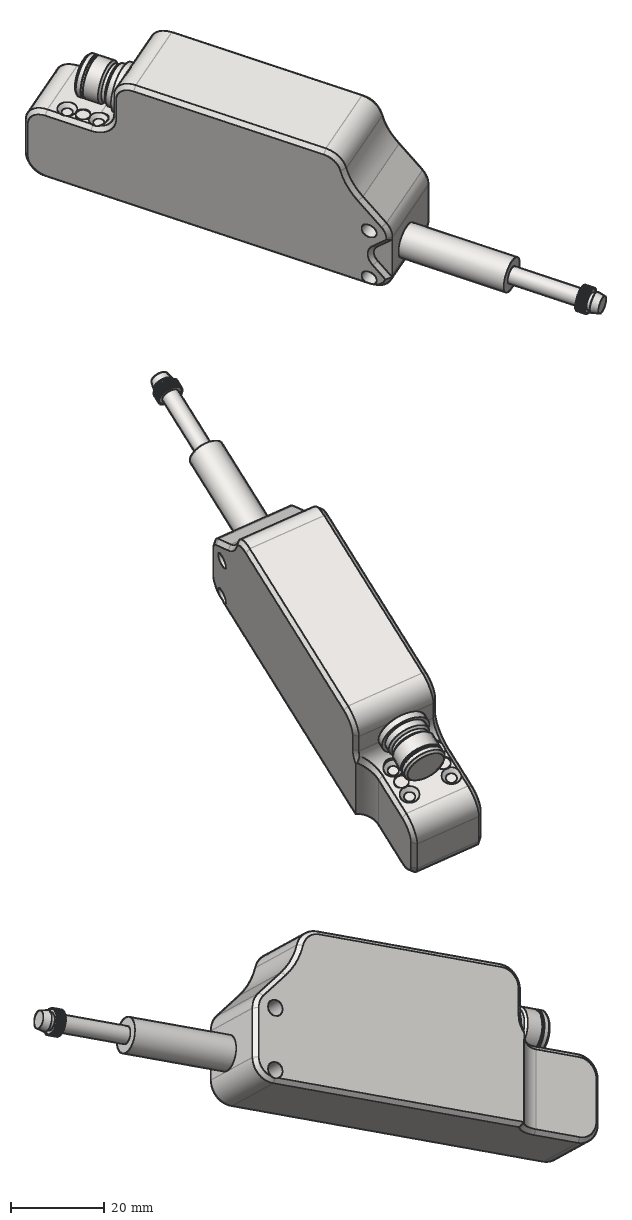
import cadquery as cq
import math


HOUSING_LENGTH = 87.0
HOUSING_WIDTH = 20.0
HOUSING_HEIGHT = 36.0
LEDGE_HEIGHT = 20.0
LEDGE_WIDTH = 17.0
WALL_X = 21.0
CORNER_RADIUS = 5.1
EDGE_CHAMFER = 1.0

SHOULDER_ARC_X = 71.1
HOLLOW_RADIUS = 15.0
SLOPE_FOOT_Z = 18.3

HOLE_DIAMETER = 3.6
HOLE_X = 81.9
LOWER_HOLE_Z = 2.7
UPPER_HOLE_Z = 16.7
RECESS_APEX_X = 79.9
RECESS_ROUND = 4.0
RECESS_DEPTH = EDGE_CHAMFER
RECESS_OVERRUN = 2.7

SINK_X = 9.0
SINK_PITCH = 3.7
SINK_ROW_OFFSET = 5.1
SINK_RADIUS = 2.1
SINK_DEPTH = 1.0
DIMPLE_RADIUS = 1.6
DIMPLE_DEPTH = 0.3

PLUNGER_Y = 8.0
PLUNGER_Z = 9.1
SLEEVE_DIAMETER = 8.0
SLEEVE_LENGTH = 25.0

TOTAL_LENGTH = 133.4
ROD_DIAMETER = 4.0
KNURL_DIAMETER = 6.0
KNURL_START_X = 128.3
KNURL_LENGTH = 2.3
KNURL_TEETH = 40
KNURL_TOOTH_DEPTH = 0.3
TIP_HEAD_RADIUS = 2.4
TIP_HEAD_X = 131.5

CONNECTOR_Y = 8.5
CONNECTOR_Z = 26.0
CONNECTOR_START_X = 10.1
CONNECTOR_RADIUS = 5.0
GRIP_BEVEL = 0.5
RING_GROOVE_X = 11.7
RING_GROOVE_WIDTH = 0.5
RING_GROOVE_DEPTH = 0.3
NECK_RADIUS = 4.4
NECK_START_X = 16.4
NECK_END_X = 17.2
FLANGE_X = 19.3
FLANGE_RADIUS = 5.7

DIAGONAL = math.sqrt(0.5)


def point_on(center, radius, degrees):
    angle = math.radians(degrees)
    return (center[0] + radius * math.cos(angle), center[1] + radius * math.sin(angle))


def housing_outline():
    """Side outline in X and Z, extruded over the full width."""
    r = CORNER_RADIUS
    low_left = (r, r)
    ledge_left = (r, LEDGE_HEIGHT - r)
    wall_foot = (WALL_X - r, LEDGE_HEIGHT + r)
    wall_top = (WALL_X + r, HOUSING_HEIGHT - r)
    shoulder = (SHOULDER_ARC_X, HOUSING_HEIGHT - r)
    low_right = (HOUSING_LENGTH - r, r)
    slope_end = (HOUSING_LENGTH - r, SLOPE_FOOT_Z - r * math.tan(math.pi / 8))

    shoulder_depth = (HOUSING_LENGTH + SLOPE_FOOT_Z - sum(shoulder)) * DIAGONAL
    run = math.sqrt((HOLLOW_RADIUS + r) ** 2 - (HOLLOW_RADIUS + shoulder_depth) ** 2)
    out = shoulder_depth + HOLLOW_RADIUS
    hollow = (shoulder[0] + (out + run) * DIAGONAL, shoulder[1] + (out - run) * DIAGONAL)
    join_angle = math.degrees(math.atan2(hollow[1] - shoulder[1], hollow[0] - shoulder[0]))
    join_back = join_angle + 180
    slope_back = 225

    return (
        cq.Workplane("XZ")
        .moveTo(r, 0)
        .lineTo(low_right[0], 0)
        .threePointArc(point_on(low_right, r, -45), point_on(low_right, r, 0))
        .lineTo(*point_on(slope_end, r, 0))
        .threePointArc(point_on(slope_end, r, 22.5), point_on(slope_end, r, 45))
        .lineTo(*point_on(hollow, HOLLOW_RADIUS, slope_back))
        .threePointArc(
            point_on(hollow, HOLLOW_RADIUS, (slope_back + join_back) / 2),
            point_on(hollow, HOLLOW_RADIUS, join_back),
        )
        .threePointArc(point_on(shoulder, r, (join_angle + 90) / 2), point_on(shoulder, r, 90))
        .lineTo(*point_on(wall_top, r, 90))
        .threePointArc(point_on(wall_top, r, 135), point_on(wall_top, r, 180))
        .lineTo(*point_on(wall_foot, r, 0))
        .threePointArc(point_on(wall_foot, r, -45), point_on(wall_foot, r, -90))
        .lineTo(*point_on(ledge_left, r, 90))
        .threePointArc(point_on(ledge_left, r, 135), point_on(ledge_left, r, 180))
        .lineTo(*point_on(low_left, r, 180))
        .threePointArc(point_on(low_left, r, 225), point_on(low_left, r, 270))
        .close()
        .extrude(-HOUSING_WIDTH)
    )


def ledge_relief():
    """Space behind the narrow ledge, ended by an arc like the one at the wall's foot."""
    center = (WALL_X - CORNER_RADIUS, LEDGE_WIDTH + CORNER_RADIUS)
    end_angle = -math.degrees(math.asin((center[1] - HOUSING_WIDTH) / CORNER_RADIUS))
    return (
        cq.Workplane("XY")
        .moveTo(0, LEDGE_WIDTH)
        .lineTo(center[0], LEDGE_WIDTH)
        .threePointArc(
            point_on(center, CORNER_RADIUS, (end_angle - 90) / 2),
            point_on(center, CORNER_RADIUS, end_angle),
        )
        .lineTo(0, HOUSING_WIDTH)
        .close()
        .extrude(HOUSING_HEIGHT)
    )


def rear_edges():
    """Selector for the edges behind the ledge, without the upright lines at both ends of the arc."""
    margin = 0.1
    behind_ledge = cq.selectors.BoxSelector(
        (-margin, LEDGE_WIDTH - margin, -margin),
        (HOUSING_LENGTH + margin, HOUSING_WIDTH + margin, HOUSING_HEIGHT + margin),
        boundingbox=True,
    )
    arc_ends = cq.selectors.BoxSelector(
        (WALL_X - CORNER_RADIUS - margin, LEDGE_WIDTH - margin, margin),
        (WALL_X - margin, HOUSING_WIDTH + margin, LEDGE_HEIGHT - margin),
    )
    return behind_ledge - arc_ends


def mounting_holes():
    return (
        cq.Workplane("XZ")
        .pushPoints([(HOLE_X, LOWER_HOLE_Z), (HOLE_X, UPPER_HOLE_Z)])
        .circle(HOLE_DIAMETER / 2)
        .extrude(-HOUSING_WIDTH)
    )


def v_recess():
    """Shallow V with 45 degree walls, open at the right end."""
    middle_z = (LOWER_HOLE_Z + UPPER_HOLE_Z) / 2
    end_x = HOUSING_LENGTH + RECESS_OVERRUN
    half_height = end_x - RECESS_APEX_X
    return (
        cq.Workplane("XZ")
        .polyline([
            (RECESS_APEX_X, middle_z),
            (end_x, middle_z - half_height),
            (end_x, middle_z + half_height),
        ])
        .close()
        .extrude(-HOUSING_WIDTH)
        .edges("|Y and <X")
        .fillet(RECESS_ROUND)
        .faces("<Y")
        .wires()
        .toPending()
        .workplane(origin=(0, 0, 0))
        .extrude(-RECESS_DEPTH, combine=False, taper=45)
    )


def ledge_pockets():
    """Two rows, each a round dimple between two flat-bottomed conical sinks."""
    pockets = []
    for side in (-1, 1):
        row_y = PLUNGER_Y + side * SINK_ROW_OFFSET
        for sink_x in (SINK_X, SINK_X + 2 * SINK_PITCH):
            floor = cq.Vector(sink_x, row_y, LEDGE_HEIGHT - SINK_DEPTH)
            pockets.append(cq.Solid.makeCone(SINK_RADIUS - SINK_DEPTH, SINK_RADIUS, SINK_DEPTH, floor))
            rim = cq.Vector(sink_x, row_y, LEDGE_HEIGHT)
            pockets.append(cq.Solid.makeCylinder(SINK_RADIUS, SINK_DEPTH, rim))
        floor = cq.Vector(SINK_X + SINK_PITCH, row_y, LEDGE_HEIGHT - DIMPLE_DEPTH)
        pockets.append(cq.Solid.makeCylinder(DIMPLE_RADIUS, DIMPLE_DEPTH, floor))
    return pockets


def make_housing(connector):
    body = housing_outline().cut(ledge_relief())
    body = body.faces("<Y").chamfer(EDGE_CHAMFER)
    body = body.edges(rear_edges()).chamfer(EDGE_CHAMFER)
    body = body.cut(mounting_holes()).cut(v_recess())
    for pocket in ledge_pockets():
        body = body.cut(cq.Workplane(pocket))
    return body.cut(connector)


def turned(profile, y, z):
    """Revolve (x, radius) points about a line along X at the given Y and Z."""
    return (
        cq.Workplane("XY")
        .polyline(profile)
        .close()
        .revolve(360, (0, 0), (1, 0))
        .translate((0, y, z))
    )


def toothed_disc(start_x, length, radius, teeth, depth, y, z):
    """Disc along X whose rim is a ring of V-shaped teeth."""
    points = []
    for index in range(2 * teeth):
        tooth_radius = radius - depth * (index % 2)
        points.append(point_on((0, 0), tooth_radius, index * 180 / teeth))
    return cq.Workplane("YZ").polyline(points).close().extrude(length).translate((start_x, y, z))


def make_connector():
    ring_groove_end_x = RING_GROOVE_X + RING_GROOVE_WIDTH
    ring_groove_radius = CONNECTOR_RADIUS - RING_GROOVE_DEPTH
    neck_depth = CONNECTOR_RADIUS - NECK_RADIUS
    return turned([
        (CONNECTOR_START_X, 0),
        (CONNECTOR_START_X, CONNECTOR_RADIUS - GRIP_BEVEL),
        (CONNECTOR_START_X + GRIP_BEVEL, CONNECTOR_RADIUS),
        (RING_GROOVE_X, CONNECTOR_RADIUS),
        (RING_GROOVE_X, ring_groove_radius),
        (ring_groove_end_x, ring_groove_radius),
        (ring_groove_end_x, CONNECTOR_RADIUS),
        (NECK_START_X - neck_depth, CONNECTOR_RADIUS),
        (NECK_START_X, NECK_RADIUS),
        (NECK_END_X, NECK_RADIUS),
        (NECK_END_X + neck_depth, CONNECTOR_RADIUS),
        (FLANGE_X, CONNECTOR_RADIUS),
        (FLANGE_X, FLANGE_RADIUS),
        (WALL_X, FLANGE_RADIUS),
        (WALL_X, 0),
    ], CONNECTOR_Y, CONNECTOR_Z)


def make_sleeve():
    end_x = HOUSING_LENGTH + SLEEVE_LENGTH
    radius = SLEEVE_DIAMETER / 2
    return turned(
        [(HOUSING_LENGTH, 0), (HOUSING_LENGTH, radius), (end_x, radius), (end_x, 0)], PLUNGER_Y, PLUNGER_Z
    )


def make_plunger():
    start_x = HOUSING_LENGTH + SLEEVE_LENGTH
    radius = ROD_DIAMETER / 2
    rod = turned([
        (start_x, 0),
        (start_x, radius),
        (TIP_HEAD_X, radius),
        (TIP_HEAD_X, TIP_HEAD_RADIUS),
        (TOTAL_LENGTH, radius),
        (TOTAL_LENGTH, 0),
    ], PLUNGER_Y, PLUNGER_Z)
    knurl = toothed_disc(
        KNURL_START_X, KNURL_LENGTH, KNURL_DIAMETER / 2,
        KNURL_TEETH, KNURL_TOOTH_DEPTH, PLUNGER_Y, PLUNGER_Z,
    )
    return rod.union(knurl)


connector = make_connector()
housing = make_housing(connector)
sleeve = make_sleeve()
plunger = make_plunger()

result = cq.Compound.makeCompound([housing.val(), connector.val(), sleeve.val(), plunger.val()])